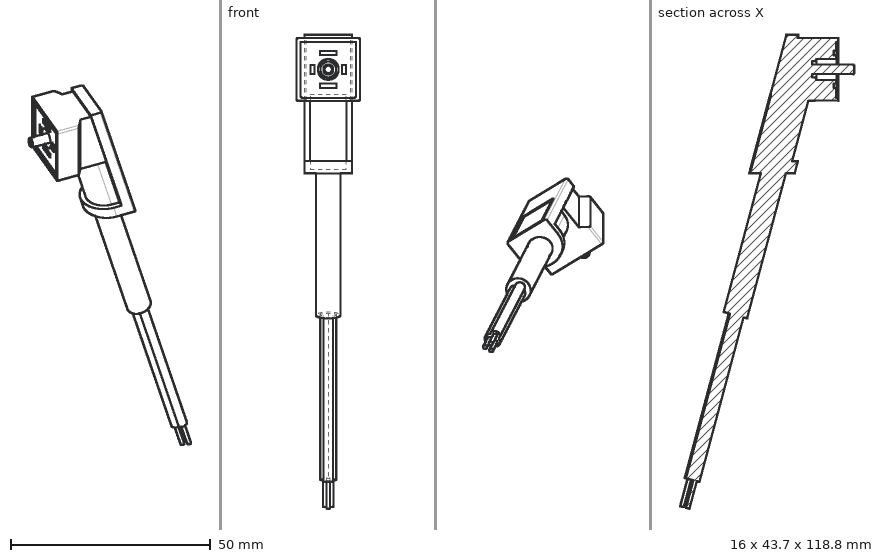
import cadquery as cq
import math


TILT = 15.0

HEAD_WIDTH = 16.0
HEAD_HEIGHT = 15.8
FLANGE_DEPTH = 5.75
WAIST_WIDTH = 11.2
WAIST_START = 7.3
FLANGE_EDGE_RADIUS = 0.5

RECESS_WIDTH = 14.0
RECESS_TOP = 6.85
RECESS_BOTTOM = -7.15
RECESS_DEPTH = 0.5
RECESS_CORNER_RADIUS = 0.7

SLOT_THICKNESS = 1.05
SLOT_OFFSET = 4.1
SLOT_LENGTH = 4.2
SIDE_SLOT_OFFSET = 3.95
SIDE_SLOT_LENGTH = 2.2
SLOT_DEPTH = 0.6

SCREW_DIAMETER = 2.5
SCREW_TIP_CHAMFER = 0.3
SCREW_LENGTH = 4.05
BORE_DIAMETER = 5.2
BORE_DEPTH = 5.0
INNER_BORE_DIAMETER = 4.0
INNER_BORE_DEPTH = 6.0

PLATE_WIDTH = 12.0
PLATE_THICKNESS = 3.0
PLATE_TOP = 8.7
PLATE_BOTTOM = -26.05
PLATE_TOP_BACK = 13.05
PLATE_EDGE_RADIUS = 0.5
COLLAR_HEIGHT = 3.1
COLLAR_CENTRE = 5.1
NECK_WIDTH = 9.2
NECK_CENTRE = 5.1

LABEL_WIDTH = 9.0
LABEL_LENGTH = 19.5
LABEL_MARGIN = 1.0
LABEL_DEPTH = 0.2

BOOT_DIAMETER = 6.2
CABLE_DEPTH = 5.88
BOOT_END = 71.2
CABLE_END = 113.9
WIRE_END = 121.0
CABLE_WIDTH = 4.1
LOBE_RADIUS = 1.25
WIRE_DIAMETER = 1.0
WIRE_OFFSET = 1.0
WIRE_COUNT = 3

HEAD_TOP = HEAD_HEIGHT / 2
COLLAR_TOP = PLATE_BOTTOM + COLLAR_HEIGHT
SIN_TILT = math.sin(math.radians(TILT))
COS_TILT = math.cos(math.radians(TILT))
FIRST_WIRE_ANGLE = math.pi / 2
WIRE_ANGLES = [FIRST_WIRE_ANGLE + 2 * math.pi * index / WIRE_COUNT for index in range(WIRE_COUNT)]
EMBEDDING = 1.0
OVERRUN = 10.0
SLAB_SIZE = 100.0


def slope_plane(distance):
    """Plane across the slope: local x is X, local y points forward from the back surface."""
    return cq.Plane(
        origin=(0, PLATE_TOP_BACK + distance * SIN_TILT, PLATE_TOP - distance * COS_TILT),
        xDir=(1, 0, 0),
        normal=(0, SIN_TILT, -COS_TILT),
    )


def level_slab(bottom, top):
    """Large level block used to trim sloping bodies."""
    return cq.Workplane("XY").workplane(offset=bottom).rect(SLAB_SIZE, SLAB_SIZE).extrude(top - bottom)


def sloping_bar(profile, bottom, top):
    """Extrude a cross-section function along the slope and trim it between two levels."""
    length = (PLATE_TOP - PLATE_BOTTOM) / COS_TILT + 2 * OVERRUN
    bar = profile(cq.Workplane(slope_plane(-OVERRUN))).extrude(length)
    return bar.intersect(level_slab(bottom, top))


def plate_profile(sketch):
    """Flat bar section with its two back edges rounded."""
    half = PLATE_WIDTH / 2
    radius = PLATE_EDGE_RADIUS
    return (
        sketch.moveTo(-half + radius, 0)
        .lineTo(half - radius, 0)
        .radiusArc((half, radius), -radius)
        .lineTo(half, PLATE_THICKNESS)
        .lineTo(-half, PLATE_THICKNESS)
        .lineTo(-half, radius)
        .radiusArc((-half + radius, 0), -radius)
        .close()
    )


def rounded_profile(width, centre):
    """Straight-sided cross-section with a half-round front, starting inside the plate."""
    half = width / 2
    start = PLATE_THICKNESS / 2

    def draw(sketch):
        return (
            sketch.moveTo(-half, start)
            .lineTo(half, start)
            .lineTo(half, centre)
            .threePointArc((0, centre + half), (-half, centre))
            .close()
        )

    return draw


def make_housing():
    plate = sloping_bar(plate_profile, PLATE_BOTTOM, PLATE_TOP)
    neck = sloping_bar(rounded_profile(NECK_WIDTH, NECK_CENTRE), PLATE_BOTTOM, 0)
    collar = sloping_bar(rounded_profile(PLATE_WIDTH, COLLAR_CENTRE), PLATE_BOTTOM, COLLAR_TOP)
    return plate.union(neck).union(collar)


def plate_mid_y(z):
    """Y of the middle of the plate at height z."""
    return PLATE_TOP_BACK + (PLATE_TOP - z) * SIN_TILT / COS_TILT - PLATE_THICKNESS / 2 / COS_TILT


def make_head():
    """Wide flange and narrower waist, ending inside the sloping plate."""
    flange_half = HEAD_WIDTH / 2
    waist_half = WAIST_WIDTH / 2
    outline = [
        (-flange_half, 0),
        (flange_half, 0),
        (flange_half, FLANGE_DEPTH),
        (waist_half, WAIST_START),
        (waist_half, plate_mid_y(-HEAD_TOP)),
        (-waist_half, plate_mid_y(-HEAD_TOP)),
        (-waist_half, WAIST_START),
        (-flange_half, FLANGE_DEPTH),
    ]
    head = cq.Workplane("XY").workplane(offset=-HEAD_TOP).polyline(outline).close().extrude(HEAD_HEIGHT)
    head = head.faces("<X or >X").edges("|Y").fillet(FLANGE_EDGE_RADIUS)
    behind_plate = (
        cq.Workplane("YZ")
        .polyline([
            (plate_mid_y(HEAD_TOP), HEAD_TOP),
            (plate_mid_y(-HEAD_TOP), -HEAD_TOP),
            (plate_mid_y(-HEAD_TOP), HEAD_TOP),
        ])
        .close()
        .extrude(HEAD_WIDTH / 2, both=True)
    )
    return head.cut(behind_plate)


def face_sketch(depth=0.0):
    """Workplane parallel to the mating face, looking outwards; x is X and y is Z."""
    return cq.Workplane("XZ", origin=(0, depth, 0))


def cut_mating_face(body):
    recess_height = RECESS_TOP - RECESS_BOTTOM
    recess = (
        face_sketch()
        .center(0, (RECESS_TOP + RECESS_BOTTOM) / 2)
        .rect(RECESS_WIDTH, recess_height)
        .extrude(-RECESS_DEPTH)
        .edges("|Y and <Z")
        .fillet(RECESS_CORNER_RADIUS)
    )
    floor = face_sketch(RECESS_DEPTH)
    slots = (
        floor.pushPoints([(0, SLOT_OFFSET), (0, -SLOT_OFFSET)])
        .rect(SLOT_LENGTH, SLOT_THICKNESS)
        .extrude(-SLOT_DEPTH)
    )
    side_slots = (
        floor.pushPoints([(SIDE_SLOT_OFFSET, 0), (-SIDE_SLOT_OFFSET, 0)])
        .rect(SLOT_THICKNESS, SIDE_SLOT_LENGTH)
        .extrude(-SLOT_DEPTH)
    )
    bore = floor.circle(BORE_DIAMETER / 2).extrude(-BORE_DEPTH)
    inner_bore = floor.circle(INNER_BORE_DIAMETER / 2).extrude(-INNER_BORE_DEPTH)
    for cutter in (recess, slots, side_slots, bore, inner_bore):
        body = body.cut(cutter)
    return body


def make_screw():
    root_depth = RECESS_DEPTH + INNER_BORE_DEPTH + EMBEDDING
    return (
        face_sketch(root_depth)
        .circle(SCREW_DIAMETER / 2)
        .extrude(root_depth + SCREW_LENGTH)
        .faces("<Y")
        .chamfer(SCREW_TIP_CHAMFER)
    )


def make_label():
    plate_length = (PLATE_TOP - PLATE_BOTTOM) / COS_TILT
    start = plate_length - LABEL_MARGIN - LABEL_LENGTH
    return (
        cq.Workplane(slope_plane(start))
        .center(0, LABEL_DEPTH / 2)
        .rect(LABEL_WIDTH, LABEL_DEPTH)
        .extrude(LABEL_LENGTH)
    )


def polar(radius, angle):
    return radius * math.cos(angle), radius * math.sin(angle)


def cable_section(sketch):
    """Outline of overlapping round lobes that meet in sharp grooves."""
    half_pitch = math.pi / WIRE_COUNT
    half_spacing = CABLE_WIDTH / 2 - LOBE_RADIUS
    lobe_offset = half_spacing / math.sin(half_pitch)
    groove_offset = half_spacing / math.tan(half_pitch) + math.sqrt(LOBE_RADIUS**2 - half_spacing**2)
    outline = sketch.moveTo(*polar(groove_offset, FIRST_WIRE_ANGLE - half_pitch))
    for angle in WIRE_ANGLES:
        crest = polar(lobe_offset + LOBE_RADIUS, angle)
        outline = outline.threePointArc(crest, polar(groove_offset, angle + half_pitch))
    return outline.close()


def cable_axis(distance):
    """Workplane across the cable axis at a distance along the slope."""
    plane = slope_plane(distance)
    plane.origin = plane.toWorldCoords((0, CABLE_DEPTH, 0))
    return cq.Workplane(plane)


def make_cable():
    boot_start = (PLATE_TOP - COLLAR_TOP) / COS_TILT - BOOT_DIAMETER / 2
    boot = cable_axis(boot_start).circle(BOOT_DIAMETER / 2).extrude(BOOT_END - boot_start)
    jacket_start = BOOT_END - EMBEDDING
    jacket = cable_section(cable_axis(jacket_start)).extrude(CABLE_END - jacket_start)
    wire_start = CABLE_END - EMBEDDING
    wires = (
        cable_axis(wire_start)
        .pushPoints([polar(WIRE_OFFSET, angle) for angle in WIRE_ANGLES])
        .circle(WIRE_DIAMETER / 2)
        .extrude(WIRE_END - wire_start)
    )
    return boot.union(jacket).union(wires)


housing = make_housing().union(make_head())
housing = cut_mating_face(housing).cut(make_label())
result = housing.union(make_screw()).union(make_cable())